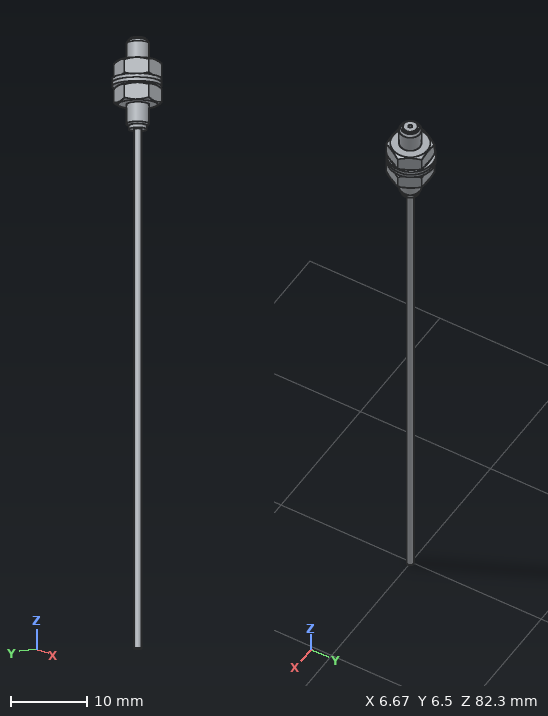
import cadquery as cq
import math

total_length = 82.3
barrel_length = 11.5
barrel_diameter = 3.0
barrel_end_diameter = 2.5
upper_chamfer_height = 0.4
lower_chamfer_height = 0.25
collar_diameter = 2.4
collar_length = 0.5
cable_diameter = 1.0
bore_diameter = 0.5
bore_depth = 1.0
tip_diameter = 2.0
tip_height = 0.25

nut_across_flats = 5.5
nut_height = 2.4
nut_face_diameter = 5.3
nut_chamfer_angle = 30.0

washer_diameter = 6.5
washer_thickness = 0.5
washer_hole_diameter = 3.45
washer_offset = -0.24

barrel_top = total_length - tip_height
barrel_bottom = barrel_top - barrel_length
collar_bottom = barrel_bottom - collar_length
nut_setback = 2.9
upper_nut_bottom = barrel_top - nut_setback - nut_height
upper_washer_bottom = upper_nut_bottom - washer_thickness
lower_washer_bottom = upper_washer_bottom - washer_thickness
lower_nut_bottom = lower_washer_bottom - nut_height


def make_probe():
    """Revolve the stepped profile and bore the upper end."""
    barrel_radius = barrel_diameter / 2
    end_radius = barrel_end_diameter / 2
    profile = [
        (0, 0),
        (cable_diameter / 2, 0),
        (cable_diameter / 2, collar_bottom),
        (collar_diameter / 2, collar_bottom),
        (collar_diameter / 2, barrel_bottom),
        (end_radius, barrel_bottom),
        (barrel_radius, barrel_bottom + lower_chamfer_height),
        (barrel_radius, barrel_top - upper_chamfer_height),
        (end_radius, barrel_top),
        (tip_diameter / 2, barrel_top),
        (tip_diameter / 2, total_length),
        (0, total_length),
    ]
    body = cq.Workplane("XZ").polyline(profile).close().revolve(360, (0, 0), (0, 1))
    return body.faces(">Z").workplane().hole(bore_diameter, bore_depth)


def make_nut(bottom):
    """Hexagonal nut with conically chamfered corners on both faces."""
    corner_diameter = nut_across_flats / math.cos(math.pi / 6)
    corner_radius = corner_diameter / 2
    face_radius = nut_face_diameter / 2
    chamfer_height = (corner_radius - face_radius) * math.tan(math.radians(nut_chamfer_angle))
    hexagon = cq.Workplane("XY").polygon(6, corner_diameter).extrude(nut_height)
    envelope = (
        cq.Workplane("XZ")
        .moveTo(0, 0)
        .lineTo(face_radius, 0)
        .lineTo(corner_radius, chamfer_height)
        .lineTo(corner_radius, nut_height - chamfer_height)
        .lineTo(face_radius, nut_height)
        .lineTo(0, nut_height)
        .close()
        .revolve(360, (0, 0), (0, 1))
    )
    bore = cq.Workplane("XY").circle(barrel_diameter / 2).extrude(nut_height)
    return hexagon.intersect(envelope).cut(bore).translate((0, 0, bottom))


def make_washer(bottom):
    """Flat washer shifted off the probe axis."""
    return (
        cq.Workplane("XY")
        .center(washer_offset, 0)
        .circle(washer_diameter / 2)
        .circle(washer_hole_diameter / 2)
        .extrude(washer_thickness)
        .translate((0, 0, bottom))
    )


probe = make_probe()
nuts = [make_nut(bottom) for bottom in (lower_nut_bottom, upper_nut_bottom)]
washers = [make_washer(bottom) for bottom in (lower_washer_bottom, upper_washer_bottom)]

result = cq.Compound.makeCompound([
    probe.val(),
    *[nut.val() for nut in nuts],
    *[washer.val() for washer in washers],
])